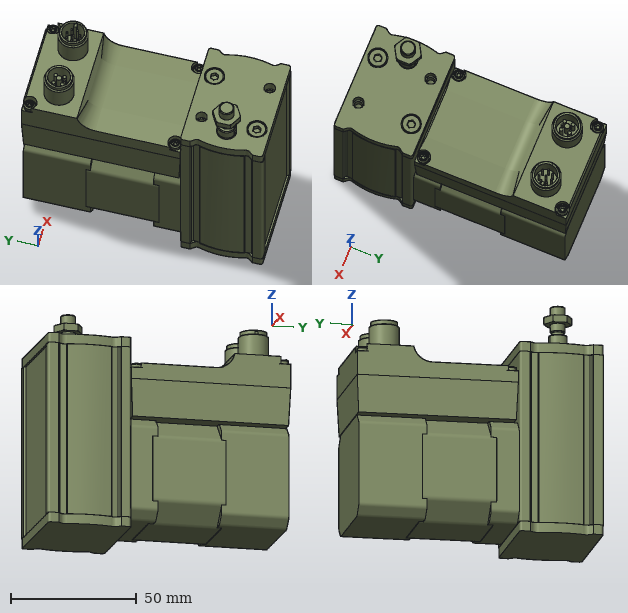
import cadquery as cq
import math

half_width = 22.5
back_y = 33.9
plate_thickness = 4.0
barrel_top = 73.6
actuator_top = barrel_top + plate_thickness
plate_front_y = 0.2
mid_y = (plate_front_y + back_y) / 2
plate_corner_radius = 1.1

shoulder_reach = 12.7
notch_start = (21.3, 11.2)
notch_deepest = (20.9, 10.1)
bulge_end = (21.1, 9.2)
plate_bulge_x = 22.3

barrel_corner_radius = 0.9
groove_edge = (21.3, 12.5)
groove_bottom = (20.7, 11.8)
flank_end = (21.0, 9.4)
barrel_bulge_end = (21.5, 9.1)
panel_rim_half_width = 18.9
panel_half_width = 18.5
panel_y = 1.0

fixing_x = 10.0
fixing_y = 11.3
screw_bore_diameter = 8.0
screw_head_top_diameter = 7.0
screw_bore_depth = 0.8
screw_head_drop = 0.3
screw_hex_size = 3.0
screw_hex_depth = 1.8
mount_hole_diameter = 4.5
mount_core_diameter = 3.3
mount_core_depth = 4.0
drill_point_angle = 118

rod_x = -14.0
rod_diameter = 8.0
rod_shoulder_top = 78.4
collar_diameter = 7.8
collar_flats = 7.0
collar_top = 82.5
neck_diameter = 4.7
thread_bottom = 83.8
thread_diameter = 6.0
rod_top = 94.2
rod_chamfer = 0.4
nut_bottom = 87.2
nut_height = 2.9
nut_flats = 9.95
nut_bevel = 0.3

stack_half = 21.1
stack_corner = 8.0
stack_corner_radius = 2.6
stack_back_y = 73.0
stack_front_y = 43.1
cap_half = 20.8
cap_corner = 3.9
cap_corner_radius = 2.1
motor_back_y = 98.8
rear_cap_front_y = 71.2
front_cap_back_y = 45.3
motor_mid_z = 24.9

cover_half_width = 21.0
cover_front_y = 34.3
cover_back_y = 99.5
cover_bottom = 61.2
cover_top = 73.9
base_bottom = motor_mid_z + stack_half
base_taper = 2.7
edge_bevel = 0.7
deck_z = 68.9
deck_side_drop = 1.1
deck_flat_half_width = 10.4
ramp_foot_y = 69.1
ramp_crest_y = 76.7
ramp_break_y = 74.9
ramp_break_z = 71.9
ramp_side_strip = 0.1

cover_screw_x = 18.4
cover_screw_rear_y = 96.8
cover_screw_front_y = 37.0
cover_screw_bore = 5.8
cover_screw_bore_depth = 3.0
cover_screw_head = 4.5
cover_screw_head_height = 1.9
cover_screw_head_bevel = 0.6
cover_screw_socket = 2.5
cover_screw_socket_depth = 0.6
cover_screw_hole = 1.5
cover_screw_hole_depth = 1.2

connector_x = 10.9
connector_y = 86.7
connector_diameter = 12.0
connector_shoulder = 83.7
connector_rim_diameter = 10.7
connector_top = 85.3
connector_bore = 9.1
connector_bevel_height = 0.4
connector_floor = 76.6
post_top = 84.5
pin_top = 83.3
key_top = 84.8
power_pin_diameter = 1.5
power_pin_offset = 1.8
power_post_diameter = 2.2
fine_pin_diameter = 0.8
power_fine_pin_y = -2.2
signal_pin_count = 7
signal_pin_circle = 5.5
key_width = 1.3
key_tip_x = 3.0


def cylinder(x, y, bottom, top, diameter):
    return cq.Workplane("XY", origin=(x, y, bottom)).circle(diameter / 2).extrude(top - bottom)


def cone(x, y, bottom, top, bottom_diameter, top_diameter):
    base = cq.Vector(x, y, bottom)
    return cq.Workplane(cq.Solid.makeCone(bottom_diameter / 2, top_diameter / 2, top - bottom, pnt=base))


def hex_prism(x, y, bottom, top, flats):
    """Hexagonal prism whose corners point along X."""
    base = cq.Workplane("XY", origin=(x, y, bottom))
    return base.polygon(6, flats / math.cos(math.pi / 6)).extrude(top - bottom)


def box(x_range, y_range, z_range):
    sizes = [high - low for low, high in (x_range, y_range, z_range)]
    corner = (x_range[0], y_range[0], z_range[0])
    return cq.Workplane("XY", origin=corner).box(*sizes, centered=False)


def fixing_points(x_sign):
    """One diagonal pair of the four fixing places on the end plate."""
    return [(x_sign * fixing_x, mid_y + fixing_y), (-x_sign * fixing_x, mid_y - fixing_y)]


def end_plate(bottom):
    outer_y = back_y - mid_y
    nx, ny = notch_start
    dx, dy = notch_deepest
    bx, by = bulge_end
    plate = (
        cq.Workplane("XY", origin=(0, mid_y, bottom))
        .moveTo(-half_width, outer_y)
        .lineTo(half_width, outer_y)
        .lineTo(half_width, shoulder_reach)
        .lineTo(nx, ny)
        .threePointArc((dx, dy), (bx, by))
        .threePointArc((plate_bulge_x, 0), (bx, -by))
        .threePointArc((dx, -dy), (nx, -ny))
        .lineTo(half_width, -shoulder_reach)
        .lineTo(half_width, -outer_y)
        .lineTo(-half_width, -outer_y)
        .lineTo(-half_width, -shoulder_reach)
        .lineTo(-nx, -ny)
        .threePointArc((-dx, -dy), (-bx, -by))
        .threePointArc((-plate_bulge_x, 0), (-bx, by))
        .threePointArc((-dx, dy), (-nx, ny))
        .lineTo(-half_width, shoulder_reach)
        .close()
        .extrude(plate_thickness)
    )
    corners = cq.selectors.BoxSelector
    for x in (-half_width, half_width):
        for y in (plate_front_y, back_y):
            near = corners((x - 0.1, y - 0.1, bottom), (x + 0.1, y + 0.1, bottom + plate_thickness))
            plate = plate.edges(near).fillet(plate_corner_radius)
    return plate


def front_plate():
    plate = end_plate(barrel_top)
    plate = plate.cut(cylinder(rod_x, mid_y, barrel_top, actuator_top, rod_diameter))
    bore_floor = actuator_top - screw_bore_depth
    head_top = actuator_top - screw_head_drop
    for x, y in fixing_points(1):
        bore = cylinder(x, y, bore_floor, actuator_top, screw_bore_diameter)
        head = cone(x, y, bore_floor, head_top, screw_bore_diameter, screw_head_top_diameter)
        socket = hex_prism(x, y, head_top - screw_hex_depth, head_top, screw_hex_size)
        plate = plate.cut(bore).union(head).cut(socket)
    for x, y in fixing_points(-1):
        plate = plate.cut(cylinder(x, y, barrel_top, actuator_top, mount_hole_diameter))
    return plate


def barrel():
    front_reach = mid_y
    back_reach = back_y - mid_y
    gx, gy = groove_bottom
    ex, ey = groove_edge
    fx, fy = flank_end
    bx, by = barrel_bulge_end
    height = barrel_top - plate_thickness
    side = (
        cq.Workplane("XY", origin=(0, mid_y, plate_thickness))
        .moveTo(0, back_reach)
        .lineTo(half_width, back_reach)
        .lineTo(half_width, shoulder_reach)
        .lineTo(ex, ey)
        .lineTo(gx, gy)
        .lineTo(fx, fy)
        .lineTo(bx, by)
        .threePointArc((half_width, 0), (bx, -by))
        .lineTo(fx, -fy)
        .lineTo(gx, -gy)
        .lineTo(ex, -ey)
        .lineTo(half_width, -shoulder_reach)
        .lineTo(half_width, -front_reach)
        .lineTo(panel_rim_half_width, -front_reach)
        .lineTo(panel_half_width, panel_y - front_reach)
        .lineTo(0, panel_y - front_reach)
        .close()
        .extrude(height)
    )
    for y in (0, back_y):
        near = cq.selectors.BoxSelector(
            (half_width - 0.1, y - 0.1, 0), (half_width + 0.1, y + 0.1, actuator_top)
        )
        side = side.edges(near).fillet(barrel_corner_radius)
    body = side.union(side.mirror("YZ"))
    core_floor = barrel_top - mount_core_depth
    point_depth = mount_core_diameter / 2 / math.tan(math.radians(drill_point_angle / 2))
    for x, y in fixing_points(-1):
        body = body.cut(cylinder(x, y, core_floor, barrel_top, mount_core_diameter))
        body = body.cut(cone(x, y, core_floor - point_depth, core_floor, 0, mount_core_diameter))
    return body


def piston_rod():
    shank = cylinder(rod_x, mid_y, barrel_top, rod_shoulder_top, rod_diameter)
    collar = cylinder(rod_x, mid_y, rod_shoulder_top, collar_top, collar_diameter)
    collar = collar.faces(">Z").chamfer(rod_chamfer)
    flats = box(
        (rod_x - collar_diameter, rod_x + collar_diameter),
        (mid_y - collar_flats / 2, mid_y + collar_flats / 2),
        (rod_shoulder_top, collar_top),
    )
    neck = cylinder(rod_x, mid_y, collar_top, thread_bottom, neck_diameter)
    thread = cylinder(rod_x, mid_y, thread_bottom, rod_top, thread_diameter)
    thread = thread.faces("<Z or >Z").chamfer(rod_chamfer)
    return shank.union(collar.intersect(flats)).union(neck).union(thread)


def lock_nut():
    axis = cq.Vector(rod_x, mid_y, 0)
    top = nut_bottom + nut_height
    corner_diameter = nut_flats / math.cos(math.pi / 6)
    envelope = cylinder(rod_x, mid_y, nut_bottom, top, corner_diameter).edges().chamfer(nut_bevel)
    nut = hex_prism(rod_x, mid_y, nut_bottom, top, nut_flats).rotate(axis, axis + cq.Vector(0, 0, 1), 90)
    return nut.intersect(envelope).cut(cylinder(rod_x, mid_y, nut_bottom, top, thread_diameter))


def octagon_bar(half, corner, radius, front, back):
    """Bar along Y with bevelled, rounded corners."""
    return (
        cq.Workplane("XZ", origin=(0, back, motor_mid_z))
        .rect(2 * half, 2 * half)
        .extrude(back - front)
        .edges("|Y")
        .chamfer(corner)
        .edges("|Y")
        .fillet(radius)
    )


def motor():
    stack = octagon_bar(stack_half, stack_corner, stack_corner_radius, stack_front_y, stack_back_y)
    for front, back in ((back_y, front_cap_back_y), (rear_cap_front_y, motor_back_y)):
        stack = stack.union(octagon_bar(cap_half, cap_corner, cap_corner_radius, front, back))
    return stack


def electronics_base():
    return (
        cq.Workplane("XY", origin=(0, (cover_front_y + cover_back_y) / 2, cover_bottom))
        .rect(2 * cover_half_width, cover_back_y - cover_front_y)
        .extrude(base_bottom - cover_bottom, taper=base_taper)
    )


def ramp_section(x, drop, break_y, break_z):
    """Outline, in the plane at x, of the space above the deck and its ramp."""
    foot_z = deck_z - drop
    roof_z = cover_top + 1
    return (
        cq.Workplane("YZ", origin=(x, 0, 0))
        .moveTo(cover_front_y - 1, foot_z)
        .lineTo(ramp_foot_y, foot_z)
        .tangentArcPoint((break_y, break_z), relative=False)
        .lineTo(ramp_crest_y, cover_top)
        .lineTo(ramp_crest_y, roof_z)
        .lineTo(cover_front_y - 1, roof_z)
        .close()
    )


def deck_space():
    middle = ramp_section(-deck_flat_half_width, 0, ramp_break_y, ramp_break_z).extrude(2 * deck_flat_half_width)
    inner = ramp_section(deck_flat_half_width, 0, ramp_break_y, ramp_break_z)
    outer = ramp_section(
        cover_half_width, deck_side_drop, ramp_crest_y - ramp_side_strip, cover_top - ramp_side_strip
    )
    side = cq.Workplane(cq.Solid.makeLoft([inner.val(), outer.val()], True))
    return middle.union(side).union(side.mirror("YZ"))


def deck_front_bevel():
    return (
        cq.Workplane("YZ", origin=(-cover_half_width, 0, 0))
        .moveTo(cover_front_y, deck_z - edge_bevel)
        .lineTo(cover_front_y + edge_bevel, deck_z)
        .lineTo(cover_front_y, deck_z)
        .close()
        .extrude(2 * cover_half_width)
    )


def cover():
    body = box(
        (-cover_half_width, cover_half_width), (cover_front_y, cover_back_y), (cover_bottom, cover_top)
    )
    body = body.faces(">Z").edges(">Y").chamfer(edge_bevel)
    body = body.cut(deck_space()).cut(deck_front_bevel())
    for x in (-cover_screw_x, cover_screw_x):
        corner_x = math.copysign(cover_half_width, x)
        body = add_cover_screw(body, x, cover_screw_rear_y, corner_x, cover_back_y, cover_top)
        body = add_cover_screw(body, x, cover_screw_front_y, corner_x, cover_front_y, deck_z)
    body = add_connector(body, -connector_x, power_pins())
    return add_connector(body, connector_x, signal_pins())


def add_cover_screw(body, x, y, corner_x, corner_y, surface):
    """Screw head in a round pocket that also opens the nearby corner of the cover."""
    floor = surface - cover_screw_bore_depth
    head_top = floor + cover_screw_head_height
    bore = cylinder(x, y, floor, cover_top, cover_screw_bore)
    corner = box(sorted((x, corner_x)), sorted((y, corner_y)), (floor, cover_top))
    head = cylinder(x, y, floor, head_top, cover_screw_head).faces(">Z").chamfer(cover_screw_head_bevel)
    socket = hex_prism(x, y, head_top - cover_screw_socket_depth, head_top, cover_screw_socket)
    hole = cylinder(x, y, head_top - cover_screw_hole_depth, head_top, cover_screw_hole)
    return body.cut(bore).cut(corner).union(head.cut(socket).cut(hole))


def power_pins():
    pins = cylinder(0, 0, connector_floor, post_top, power_post_diameter)
    for x in (-power_pin_offset, power_pin_offset):
        for y in (-power_pin_offset, power_pin_offset):
            pins = pins.union(cylinder(x, y, connector_floor, pin_top, power_pin_diameter))
    return pins.union(cylinder(0, power_fine_pin_y, connector_floor, pin_top, fine_pin_diameter))


def signal_pins():
    pins = cylinder(0, 0, connector_floor, pin_top, fine_pin_diameter)
    for i in range(signal_pin_count):
        angle = math.pi + 2 * math.pi * i / signal_pin_count
        x = signal_pin_circle / 2 * math.cos(angle)
        y = signal_pin_circle / 2 * math.sin(angle)
        pins = pins.union(cylinder(x, y, connector_floor, pin_top, fine_pin_diameter))
    key = box(
        (key_tip_x, connector_rim_diameter / 2),
        (-key_width / 2, key_width / 2),
        (connector_floor, key_top),
    )
    return pins.union(key)


def add_connector(body, x, inserts):
    bevel_bottom = connector_shoulder - connector_bevel_height
    sleeve = cylinder(x, connector_y, cover_top, bevel_bottom, connector_diameter)
    bevel = cone(
        x, connector_y, bevel_bottom, connector_shoulder, connector_diameter, connector_rim_diameter
    )
    rim = cylinder(x, connector_y, connector_shoulder, connector_top, connector_rim_diameter)
    bore = cylinder(x, connector_y, connector_floor, connector_top, connector_bore)
    body = body.union(sleeve).union(bevel).union(rim).cut(bore)
    return body.union(inserts.translate((x, connector_y, 0)))


result = cq.Compound.makeCompound(
    [
        barrel().val(),
        front_plate().val(),
        end_plate(0).val(),
        piston_rod().val(),
        lock_nut().val(),
        motor().val(),
        electronics_base().val(),
        cover().val(),
    ]
)